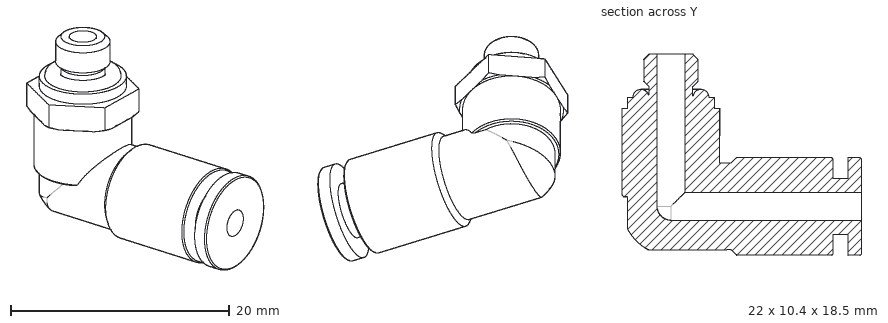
import cadquery as cq
import math

overall_length = 22
sleeve_radius = 9.0 / 2
elbow_radius = 4.0
neck_radius = 4.03 / 2

sleeve_bottom = 0.88
sleeve_chamfer = 0.15
hex_bottom = 6.51
hex_top = 9.0
collar_top = 10.0
thread_bottom = 10.98
thread_top = 14.0
thread_radius = 2.5
thread_chamfer = thread_radius - neck_radius
seal_section_radius = 0.75
bore_radius = 1.25

hex_corner_diameter = 2 * sleeve_radius / math.cos(math.pi / 6)
hex_bevel_radius = 4.77
hex_bevel_height = 0.18

tube_start = 5.52
tube_start_chamfer = sleeve_radius - elbow_radius
tube_end = 14.9
release_neck_radius = 2.6
release_flange_start = 16.24
arm_end = overall_length - sleeve_radius
edge_chamfer = 0.13


def cylinder_z(radius, bottom, top):
    return cq.Workplane("XY").workplane(offset=bottom).circle(radius).extrude(top - bottom)


def cylinder_x(radius, start, end):
    return cq.Workplane("YZ").workplane(offset=start).circle(radius).extrude(end - start)


def make_corner():
    """Outer elbow corner: mitred cylinders rounded by a bend about the Y axis."""
    spine_radius = sleeve_radius - elbow_radius
    bend = (
        cq.Workplane("XY")
        .moveTo(0, -elbow_radius)
        .lineTo(spine_radius, -elbow_radius)
        .threePointArc((sleeve_radius, 0), (spine_radius, elbow_radius))
        .lineTo(0, elbow_radius)
        .close()
        .revolve(360, (0, 0, 0), (0, 1, 0))
    )
    vertical = cylinder_z(elbow_radius, -elbow_radius, 0)
    horizontal = cylinder_x(elbow_radius, -elbow_radius, 0)
    return vertical.intersect(horizontal).intersect(bend)


def make_hexagon():
    height = hex_top - hex_bottom
    prism = (
        cq.Workplane("XY")
        .workplane(offset=hex_bottom)
        .polygon(6, hex_corner_diameter)
        .extrude(height)
        .rotate((0, 0, 0), (0, 0, 1), 90)
    )
    corner_radius = hex_corner_diameter / 2
    bevel = cylinder_z(corner_radius, hex_bottom, hex_top).faces("<Z").chamfer(
        hex_bevel_height, corner_radius - hex_bevel_radius
    )
    return prism.intersect(bevel)


def make_seal_ring():
    ring_radius = neck_radius + seal_section_radius
    return (
        cq.Workplane("XZ")
        .center(ring_radius, collar_top)
        .circle(seal_section_radius)
        .revolve(360, (-ring_radius, 0, 0), (-ring_radius, 1, 0))
    )


def make_vertical_arm():
    arm = cylinder_z(elbow_radius, 0, collar_top)
    sleeve = cylinder_z(sleeve_radius, sleeve_bottom, hex_bottom)
    thread = cylinder_z(thread_radius, thread_bottom, thread_top)
    arm = arm.union(sleeve.faces("<Z").chamfer(sleeve_chamfer))
    arm = arm.union(make_hexagon())
    arm = arm.union(cylinder_z(neck_radius, collar_top, thread_bottom))
    arm = arm.union(thread.faces("<Z or >Z").chamfer(thread_chamfer))
    return arm.union(make_seal_ring())


def make_horizontal_arm():
    arm = cylinder_x(elbow_radius, 0, tube_start)
    tube = cylinder_x(sleeve_radius, tube_start, tube_end)
    tube = tube.faces("<X").chamfer(tube_start_chamfer)
    arm = arm.union(tube.faces(">X").chamfer(edge_chamfer))
    arm = arm.union(cylinder_x(release_neck_radius, tube_end, release_flange_start))
    flange = cylinder_x(sleeve_radius, release_flange_start, arm_end)
    return arm.union(flange.faces(">X").chamfer(edge_chamfer))


def make_bore():
    """Flow passage through both arms, with a spherical turn where they meet."""
    turn = cq.Workplane("XY").sphere(bore_radius)
    vertical = cylinder_z(bore_radius, 0, thread_top)
    horizontal = cylinder_x(bore_radius, 0, arm_end)
    return vertical.union(horizontal).union(turn)


body = make_vertical_arm().union(make_horizontal_arm()).union(make_corner())
result = body.cut(make_bore())